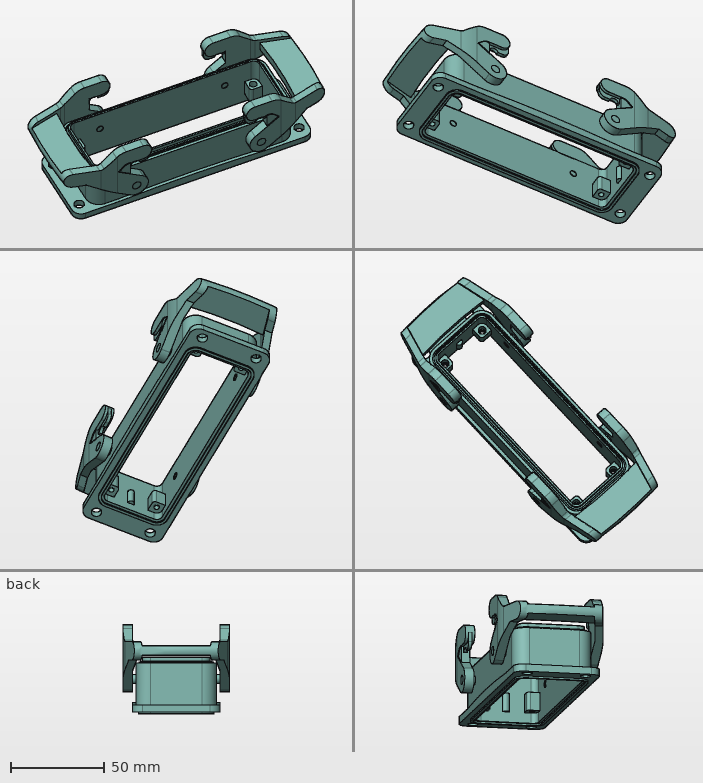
import cadquery as cq
import math

LENGTH = 156.5
WIDTH = 57.0
HEIGHT = 47.7

WALL_WIDTH = 43.2
WALL_LENGTH = 120.5
WALL_CORNER = 7.8
WALL_THICKNESS = 4.5
LEDGE_Z = 27.2
RIM_Z = 30.4
RIM_STEPS = (
    (1.7, 27.7),
    (2.5, 28.2),
    (3.5, RIM_Z),
)

FLANGE_WIDTH = 47.0
FLANGE_LENGTH = 140.8
FLANGE_CORNER = 5.5
LIP_HEIGHT = 1.0
LIP_INSET = 1.4
LIP_THICKNESS = 1.5
FLANGE_TOP_Z = 4.8
CROWN_HALF_LENGTH = 44.6
CROWN_RISE = 1.3
MOUNT_HOLE_X = 16.0
MOUNT_HOLE_Y = 65.1
MOUNT_HOLE_DIAMETER = 5.5

BOSS_TOP_Z = 16.5
BOSS_BOTTOM_Z = 6.5
BOSS_SIDE_X = 10.0
BOSS_SIDE_Y = 48.7
BOSS_CORNER = 1.7
SCREW_X = 13.5
SCREW_Y = 52.0
SCREW_HOLE_DIAMETER = 2.8
SCREW_BORE_DIAMETER = 4.0
SCREW_BORE_DEPTH = 6.3
RIB_RADIUS = 1.9

PIVOT_Y = 37.0
PIVOT_Z = 18.6
PIN_RADIUS = 2.5
DIMPLE_RADIUS = 1.9
DIMPLE_DEPTH = 0.3

PIVOT_EYE_RADIUS = 6.9
ARM_ANGLE = 33.0
GRIP_BOTTOM_Z = 28.8
GRIP_TOP_Z = 38.6
GRIP_TOP_END_Y = 57.0
RISE_RADIUS = 3.6
HOOK_BACK_Y = 46.5
HOOK_BACK_RADIUS = 8.6
HOOK_TIP_Y = 28.0
HOOK_BOTTOM_Z = 37.7
THROAT_CORNER_Y = 43.2
THROAT_RADIUS = 3.8
THROAT_END_Y = 47.4

WEB_SETBACK = 0.5
WEB_EDGE_Y = 40.4
WEB_BOTTOM_Z = 28.2
CATCH_THICKNESS = 1.9
CATCH_BOTTOM_Z = 34.4
CATCH_TIP_RADIUS = 3.5
NOTCH_RADIUS = 2.5
NOTCH_Z = 33.8

ARM_THICKNESS = 5.2
BEND_ANGLE = 14.1
OUTER_BEND_Y = 53.0
INNER_BEND_Y = 56.3
OUTER_BEND_RADIUS = 37.5
INNER_BEND_RADIUS = 9.4

BAR_BOTTOM_Z = 31.3
BAR_TOP_Z = 36.5
BAR_DEPTH = 17.0
BOW_RADIUS = 250.3

ARM_OUTER_X = WIDTH / 2
ARM_INNER_X = ARM_OUTER_X - ARM_THICKNESS
TIP_Y = LENGTH / 2
BOW_AXIS_Y = TIP_Y - BOW_RADIUS
PAST_TIP_Y = TIP_Y + 3.1
GRIP_RADIUS = (GRIP_TOP_Z - GRIP_BOTTOM_Z) / 2
GRIP_MID_Z = (GRIP_TOP_Z + GRIP_BOTTOM_Z) / 2
INNER_WIDTH = WALL_WIDTH - 2 * WALL_THICKNESS
INNER_LENGTH = WALL_LENGTH - 2 * WALL_THICKNESS
INNER_CORNER = WALL_CORNER - WALL_THICKNESS
HOOK_RADIUS = (HEIGHT - HOOK_BOTTOM_Z) / 2
HOOK_CENTER_Y = HOOK_TIP_Y + HOOK_RADIUS
HOOK_MID_Z = HEIGHT - HOOK_RADIUS
SIDES = (-1, 1)


def rounded_block(width, length, corner, bottom, top):
    """Upright block centred on Z with rounded vertical edges."""
    block = cq.Workplane("XY").workplane(offset=bottom).rect(width, length).extrude(top - bottom)
    return block.edges("|Z").fillet(corner)


def wall_block(inset, bottom, top):
    """Block that follows the outside of the housing wall, set in by an inset."""
    return rounded_block(
        WALL_WIDTH - 2 * inset, WALL_LENGTH - 2 * inset, WALL_CORNER - inset, bottom, top
    )


def box(x_range, y_range, z_range):
    """Box between pairs of X, Y and Z limits."""
    sizes = [high - low for low, high in (x_range, y_range, z_range)]
    corner = (x_range[0], y_range[0], z_range[0])
    return cq.Workplane("XY").box(*sizes, centered=False).translate(corner)


def x_cylinder(radius, x_start, x_end, y, z):
    """Cylinder along X between two X positions."""
    disc = cq.Workplane("YZ").workplane(offset=x_start).center(y, z).circle(radius)
    return disc.extrude(x_end - x_start)


def fillet_at(body, point, radius):
    """Round the single edge nearest to a point."""
    return body.edges(cq.selectors.NearestToPointSelector(point)).fillet(radius)


def flange():
    """Mounting flange with arched long edges and four screw holes."""
    plate = rounded_block(FLANGE_WIDTH, FLANGE_LENGTH, FLANGE_CORNER, LIP_HEIGHT, FLANGE_TOP_Z)
    crown = (
        cq.Workplane("YZ")
        .workplane(offset=-FLANGE_WIDTH / 2)
        .moveTo(-CROWN_HALF_LENGTH, FLANGE_TOP_Z)
        .threePointArc((0, FLANGE_TOP_Z + CROWN_RISE), (CROWN_HALF_LENGTH, FLANGE_TOP_Z))
        .close()
        .extrude(FLANGE_WIDTH)
    )
    holes = (
        cq.Workplane("XY")
        .rect(2 * MOUNT_HOLE_X, 2 * MOUNT_HOLE_Y, forConstruction=True)
        .vertices()
        .circle(MOUNT_HOLE_DIAMETER / 2)
        .extrude(FLANGE_TOP_Z)
    )
    return plate.union(crown).cut(holes)


def sealing_lip():
    """Thin ring standing out under the flange."""
    outside = wall_block(LIP_INSET, 0, LIP_HEIGHT)
    return outside.cut(wall_block(LIP_INSET + LIP_THICKNESS, 0, LIP_HEIGHT))


def screw_boss(side_x, side_y):
    """Drilled and counterbored boss in the inner corner on the given sides."""
    x_limits = sorted((side_x * BOSS_SIDE_X, side_x * (INNER_WIDTH + WALL_THICKNESS) / 2))
    y_limits = sorted((side_y * BOSS_SIDE_Y, side_y * (INNER_LENGTH + WALL_THICKNESS) / 2))
    boss = box(x_limits, y_limits, (BOSS_BOTTOM_Z, BOSS_TOP_Z))
    return (
        boss.edges("|Z")
        .fillet(BOSS_CORNER)
        .faces(">Z")
        .workplane(origin=(side_x * SCREW_X, side_y * SCREW_Y, BOSS_TOP_Z))
        .cboreHole(SCREW_HOLE_DIAMETER, SCREW_BORE_DIAMETER, SCREW_BORE_DEPTH)
    )


def keying_ribs():
    """Round rib on the middle of each inner end wall."""
    return (
        cq.Workplane("XY")
        .workplane(offset=BOSS_BOTTOM_Z)
        .pushPoints([(0, side * INNER_LENGTH / 2) for side in SIDES])
        .circle(RIB_RADIUS)
        .extrude(BOSS_TOP_Z - BOSS_BOTTOM_Z)
    )


def make_housing():
    """Open frame with flange, stepped rim, bosses and four pivot pins."""
    body = flange().union(wall_block(0, LIP_HEIGHT, LEDGE_Z))
    for inset, top_z in RIM_STEPS:
        body = body.union(wall_block(inset, LEDGE_Z, top_z))
    body = body.cut(rounded_block(INNER_WIDTH, INNER_LENGTH, INNER_CORNER, 0, RIM_Z))
    body = body.union(sealing_lip())
    body = body.union(keying_ribs())
    inner_x = INNER_WIDTH / 2
    pin_root_x = WALL_WIDTH / 2 - WALL_THICKNESS / 2
    for sx in SIDES:
        for sy in SIDES:
            body = body.union(screw_boss(sx, sy))
            pivot = (sy * PIVOT_Y, PIVOT_Z)
            body = body.union(x_cylinder(PIN_RADIUS, sx * pin_root_x, sx * ARM_OUTER_X, *pivot))
            dimple_end_x = sx * (inner_x + DIMPLE_DEPTH)
            body = body.cut(x_cylinder(DIMPLE_RADIUS, sx * inner_x, dimple_end_x, *pivot))
    return body


def lever_side():
    """Side shape of both arms at full thickness: grip, hook and pivot arm."""
    angle = math.radians(ARM_ANGLE)
    eye_dy = PIVOT_EYE_RADIUS * math.sin(angle)
    eye_dz = PIVOT_EYE_RADIUS * math.cos(angle)
    upper_tangent = (PIVOT_Y - eye_dy, PIVOT_Z + eye_dz)
    lower_tangent = (PIVOT_Y + eye_dy, PIVOT_Z - eye_dz)
    eye_end = (PIVOT_Y - eye_dz, PIVOT_Z - eye_dy)
    slope = math.tan(angle)
    throat_end_z = upper_tangent[1] + (THROAT_END_Y - upper_tangent[0]) * slope
    grip_start_y = lower_tangent[0] + (GRIP_BOTTOM_Z - lower_tangent[1]) / slope
    side = (
        cq.Workplane("YZ")
        .workplane(offset=-ARM_OUTER_X)
        .moveTo(PAST_TIP_Y, GRIP_BOTTOM_Z)
        .lineTo(PAST_TIP_Y, GRIP_TOP_Z)
        .lineTo(GRIP_TOP_END_Y, GRIP_TOP_Z)
        .lineTo(HOOK_BACK_Y, HEIGHT)
        .lineTo(HOOK_CENTER_Y, HEIGHT)
        .threePointArc((HOOK_TIP_Y, HOOK_MID_Z), (HOOK_CENTER_Y, HOOK_BOTTOM_Z))
        .lineTo(THROAT_CORNER_Y, HOOK_BOTTOM_Z)
        .lineTo(THROAT_END_Y, throat_end_z)
        .lineTo(*upper_tangent)
        .threePointArc(eye_end, lower_tangent)
        .lineTo(grip_start_y, GRIP_BOTTOM_Z)
        .close()
        .extrude(2 * ARM_OUTER_X)
    )
    side = fillet_at(side, (0, GRIP_TOP_END_Y, GRIP_TOP_Z), RISE_RADIUS)
    side = fillet_at(side, (0, HOOK_BACK_Y, HEIGHT), HOOK_BACK_RADIUS)
    return fillet_at(side, (0, THROAT_CORNER_Y, HOOK_BOTTOM_Z), THROAT_RADIUS)


def throat_web():
    """Web across the throat of both arms, set back from their outer faces."""
    half_width = ARM_OUTER_X - WEB_SETBACK
    return box((-half_width, half_width), (WEB_EDGE_Y, THROAT_END_Y), (WEB_BOTTOM_Z, HOOK_MID_Z))


def catch_rib(side):
    """Notched rib under the hook, in the middle of the arm thickness."""
    middle_x = side * (ARM_OUTER_X + ARM_INNER_X) / 2
    x_limits = (middle_x - CATCH_THICKNESS / 2, middle_x + CATCH_THICKNESS / 2)
    rib = box(x_limits, (HOOK_TIP_Y, WEB_EDGE_Y), (CATCH_BOTTOM_Z, HOOK_MID_Z))
    rib = fillet_at(rib, (middle_x, HOOK_TIP_Y, CATCH_BOTTOM_Z), CATCH_TIP_RADIUS)
    return rib.cut(x_cylinder(NOTCH_RADIUS, *x_limits, PIVOT_Y, NOTCH_Z))


def plan_block(half_width, bend_y, bend_radius):
    """Upright block, straight along the hooks and tapering in towards the handle."""
    end_half_width = half_width - (PAST_TIP_Y - bend_y) * math.tan(math.radians(BEND_ANGLE))
    block = (
        cq.Workplane("XY")
        .moveTo(-half_width, 0)
        .lineTo(half_width, 0)
        .lineTo(half_width, bend_y)
        .lineTo(end_half_width, PAST_TIP_Y)
        .lineTo(-end_half_width, PAST_TIP_Y)
        .lineTo(-half_width, bend_y)
        .close()
        .extrude(HEIGHT)
    )
    for side in SIDES:
        block = fillet_at(block, (side * half_width, bend_y, HEIGHT / 2), bend_radius)
    return block


def bowed_band(inner_radius, outer_radius, bottom, top):
    """Upright ring about the axis of the bowed handle."""
    ring = cq.Workplane("XY", origin=(0, BOW_AXIS_Y, bottom)).circle(outer_radius).circle(inner_radius)
    return ring.extrude(top - bottom)


def make_lever():
    """Lever on the +Y end: two hooked arms joined by a bowed handle bar."""
    outer_plan = plan_block(ARM_OUTER_X, OUTER_BEND_Y, OUTER_BEND_RADIUS)
    inner_plan = plan_block(ARM_INNER_X, INNER_BEND_Y, INNER_BEND_RADIUS)
    arms = lever_side().union(throat_web()).intersect(outer_plan.cut(inner_plan))

    bar = bowed_band(BOW_RADIUS - BAR_DEPTH, BOW_RADIUS, BAR_BOTTOM_Z, BAR_TOP_Z).intersect(outer_plan)

    round_radius = BOW_RADIUS - GRIP_RADIUS
    end_stock = bowed_band(round_radius, BOW_RADIUS + GRIP_RADIUS, GRIP_BOTTOM_Z, GRIP_TOP_Z)
    round_center = cq.Vector(0, BOW_AXIS_Y, GRIP_MID_Z)
    round_end = cq.Workplane(cq.Solid.makeTorus(round_radius, GRIP_RADIUS, round_center))
    lever = arms.union(bar).cut(end_stock.cut(round_end))
    for side in SIDES:
        lever = lever.union(catch_rib(side))
        pin_hole = x_cylinder(PIN_RADIUS, side * ARM_INNER_X, side * ARM_OUTER_X, PIVOT_Y, PIVOT_Z)
        lever = lever.cut(pin_hole)
    return lever


housing = make_housing()
levers = [make_lever().rotate((0, 0, 0), (0, 0, 1), turn) for turn in (0, 180)]
result = cq.Compound.makeCompound([housing.val(), *[lever.val() for lever in levers]])